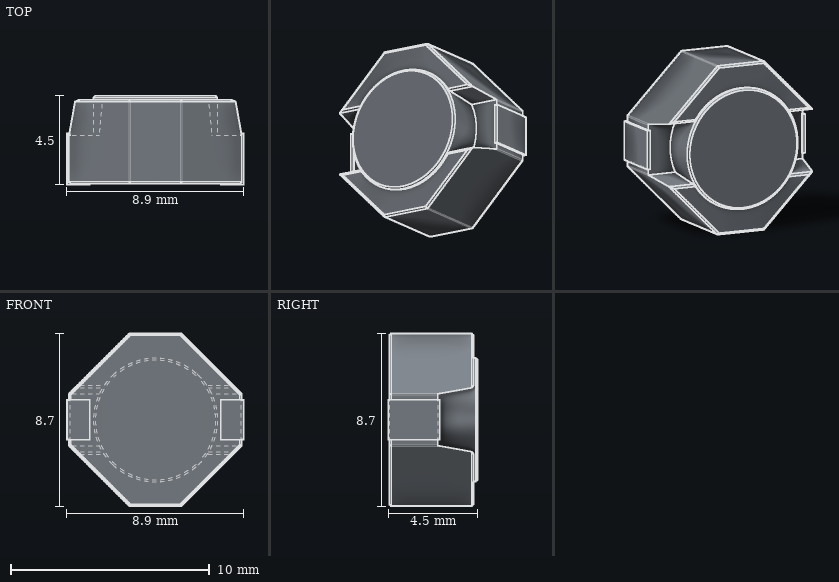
import cadquery as cq

overall_width = 8.9
overall_depth = 4.5
body_size = 8.7
front_y = -overall_depth / 2
back_y = overall_depth / 2

pad_height = 0.05
core_height = 0.2
flat_length = 2.605
rim_chamfer = 0.1
corner_fillet = 0.1
body_half = body_size / 2
flat_half = flat_length / 2
body_front_y = front_y + pad_height
body_back_y = back_y - core_height
body_depth = body_back_y - body_front_y

opening_floor_y = 0.25
opening_back_half = 1.625

core_radius = 3.12
core_chamfer = 0.1

terminal_width = 2.0
terminal_length = 2.6
pad_length = 1.15
terminal_thickness = 0.15


def octagon_prism():
    """Octagonal prism with sharp edges, along Y."""
    outline = [
        (flat_half, body_half),
        (body_half, flat_half),
        (body_half, -flat_half),
        (flat_half, -body_half),
        (-flat_half, -body_half),
        (-body_half, -flat_half),
        (-body_half, flat_half),
        (-flat_half, body_half),
    ]
    plane = cq.Workplane("XZ", origin=(0, body_front_y, 0))
    return plane.polyline(outline).close().extrude(-body_depth)


def octagon_body():
    """Prism with mitred rim chamfers, its corner edges then rounded."""
    rimmed = octagon_prism().faces("<Y or >Y").chamfer(rim_chamfer)
    rounded = octagon_prism().edges("|Y").fillet(corner_fillet)
    return rimmed.intersect(rounded)


def side_openings():
    """Flared slot right across the body along X; the core fills its middle."""
    flare = (opening_back_half - flat_half) / (body_back_y - opening_floor_y)
    chamfer_start_y = body_back_y - rim_chamfer
    chamfer_start_half = opening_back_half - flare * rim_chamfer
    chamfer_end_half = opening_back_half + rim_chamfer
    profile = [
        (opening_floor_y, -flat_half),
        (opening_floor_y, flat_half),
        (chamfer_start_y, chamfer_start_half),
        (body_back_y, chamfer_end_half),
        (body_back_y, -chamfer_end_half),
        (chamfer_start_y, -chamfer_start_half),
    ]
    return cq.Workplane("YZ").polyline(profile).close().extrude(body_half, both=True)


def core():
    length = back_y - opening_floor_y
    blank = cq.Workplane("XZ", origin=(0, opening_floor_y, 0)).circle(core_radius).extrude(-length)
    return blank.faces(">Y").chamfer(core_chamfer)


def terminal(side):
    """L-shaped terminal at the X end given by side (-1 or +1), partly sunk into the body."""
    outer_x = side * overall_width / 2
    inner_x = outer_x - side * terminal_thickness
    pad_end_x = outer_x - side * pad_length
    inner_y = front_y + terminal_thickness
    leg_end_y = front_y + terminal_length
    profile = [
        (outer_x, front_y),
        (pad_end_x, front_y),
        (pad_end_x, inner_y),
        (inner_x, inner_y),
        (inner_x, leg_end_y),
        (outer_x, leg_end_y),
    ]
    return cq.Workplane("XY").polyline(profile).close().extrude(terminal_width / 2, both=True)


result = octagon_body().cut(side_openings()).union(core())
for side in (-1, 1):
    result = result.union(terminal(side))